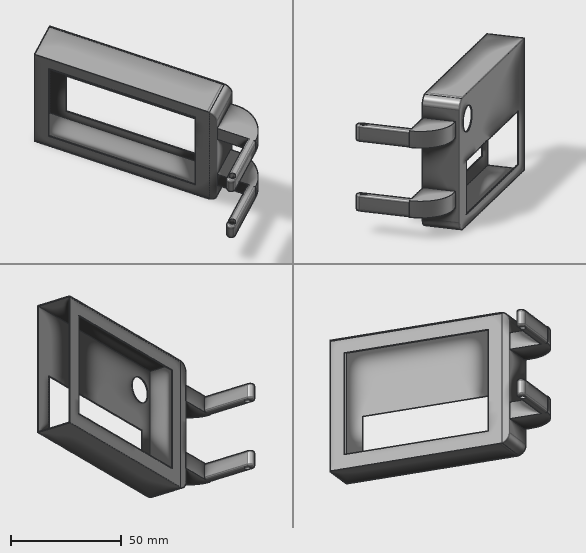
import cadquery as cq
CASE_LENGTH = 89.62
CASE_DEPTH = 18.0
CASE_HEIGHT = 63.5
WALL = 0.5
END_WALL = 3.87
CORNER_RADIUS = 4.75
RIM_RADIUS = 0.25

FRONT_WINDOW_START = 7.0
FRONT_WINDOW_END = 79.0
FRONT_MARGIN = 7.25

BACK_WINDOW_START = 8.25
BACK_WINDOW_END = 79.75
BACK_WINDOW_BOTTOM = 5.5
BACK_WINDOW_TOP = 31.3

BACK_HOLE_DIAMETER = 12.2
BACK_HOLE_X = 78.25
BACK_HOLE_Z = 51.0

ARM_HEIGHT = 8.0
ARM_BOTTOMS = (11.6, 45.1)
OVERALL_LENGTH = 108.62
BRACKET_FRONT = 0.5
BRACKET_BACK = 16.0
BRACKET_RADIUS = BRACKET_BACK - BRACKET_FRONT
BRACKET_END = 108.4

FINGER_WIDTH = 4.2
FINGER_TIP_Y = -25.5
FINGER_EDGE_RADIUS = 1.0
FINGER_X = OVERALL_LENGTH - FINGER_WIDTH / 2
PIN_HOLE_DIAMETER = 3.0
PIN_HOLE_Y = -22.0


def box_between(x_range, y_range, z_range):
    """Axis-aligned box spanning the three given (low, high) ranges."""
    (x0, x1), (y0, y1), (z0, z1) = x_range, y_range, z_range
    box = cq.Workplane("XY").box(x1 - x0, y1 - y0, z1 - z0, centered=False)
    return box.translate((x0, y0, z0))


def make_case():
    """Hollow case with rounded +X corners, softened face rims, two windows and a round hole."""
    inner_right = CASE_LENGTH - END_WALL
    inner_back = CASE_DEPTH - WALL
    outer = box_between((0, CASE_LENGTH), (0, CASE_DEPTH), (0, CASE_HEIGHT))
    outer = outer.edges("|Y and >X").fillet(CORNER_RADIUS)
    outer = outer.faces("<Y or >Y").edges("not <X").fillet(RIM_RADIUS)
    cavity = box_between((0, inner_right), (WALL, inner_back), (WALL, CASE_HEIGHT - WALL))
    front_window = box_between(
        (FRONT_WINDOW_START, FRONT_WINDOW_END),
        (0, WALL),
        (FRONT_MARGIN, CASE_HEIGHT - FRONT_MARGIN),
    )
    back_window = box_between(
        (BACK_WINDOW_START, BACK_WINDOW_END),
        (inner_back, CASE_DEPTH),
        (BACK_WINDOW_BOTTOM, BACK_WINDOW_TOP),
    )
    back_hole = (
        cq.Workplane("XZ", origin=(BACK_HOLE_X, CASE_DEPTH, BACK_HOLE_Z))
        .circle(BACK_HOLE_DIAMETER / 2)
        .extrude(WALL)
    )
    return outer.cut(cavity).cut(front_window).cut(back_window).cut(back_hole)


def make_bracket():
    """Thick plate at the +X end of the case, rounded at its outer back corner, on z = 0."""
    bracket = box_between((CASE_LENGTH, BRACKET_END), (BRACKET_FRONT, BRACKET_BACK), (0, ARM_HEIGHT))
    corner_square = box_between(
        (BRACKET_END - BRACKET_RADIUS, BRACKET_END),
        (BRACKET_FRONT, BRACKET_BACK),
        (0, ARM_HEIGHT),
    )
    corner_round = (
        cq.Workplane("XY")
        .center(BRACKET_END - BRACKET_RADIUS, BRACKET_FRONT)
        .circle(BRACKET_RADIUS)
        .extrude(ARM_HEIGHT)
    )
    return bracket.cut(corner_square.cut(corner_round))


def make_finger():
    """Finger with a round tip, softened top and bottom rims and a pin hole, on z = 0."""
    tip_center_y = FINGER_TIP_Y + FINGER_WIDTH / 2
    half_width = FINGER_WIDTH / 2
    finger = (
        cq.Workplane("XY")
        .moveTo(FINGER_X + half_width, BRACKET_FRONT)
        .lineTo(FINGER_X + half_width, tip_center_y)
        .threePointArc((FINGER_X, FINGER_TIP_Y), (FINGER_X - half_width, tip_center_y))
        .lineTo(FINGER_X - half_width, BRACKET_FRONT)
        .close()
        .extrude(ARM_HEIGHT)
    )
    finger = finger.faces("<Z or >Z").edges("not >Y").fillet(FINGER_EDGE_RADIUS)
    pin_hole = (
        cq.Workplane("XY")
        .center(FINGER_X, PIN_HOLE_Y)
        .circle(PIN_HOLE_DIAMETER / 2)
        .extrude(ARM_HEIGHT)
    )
    return finger.cut(pin_hole)


result = make_case()
arm = make_bracket().union(make_finger())
for arm_bottom in ARM_BOTTOMS:
    result = result.union(arm.translate((0, 0, arm_bottom)))